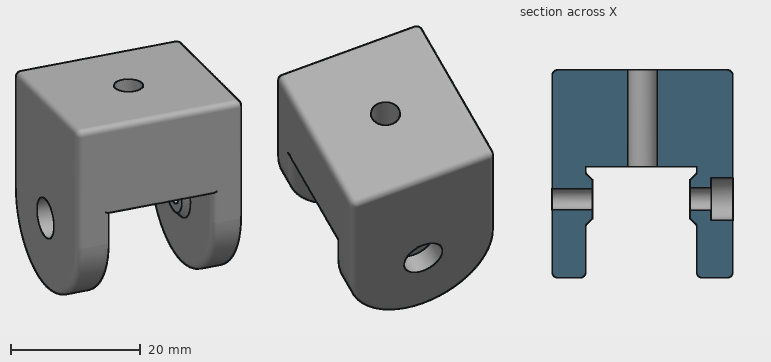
import cadquery as cq

width = 24.4
depth = 28.0
top_z = 20.0
end_radius = width / 2
edge_radius = 1.0

front_arm = 5.7
back_arm = 5.3
slot_ceiling_z = 5.0
ceiling_edge_radius = 0.5
slot_front_y = -depth / 2 + front_arm
slot_back_y = depth / 2 - back_arm

boss_base_radius = 4.0
boss_tip_radius = 3.0
boss_height = 1.0

front_pivot_diameter = 3.4
back_pivot_diameter = 3.2
counterbore_diameter = 6.5
counterbore_depth = 3.4
top_hole_diameter = 4.5


def plate(start_y, thickness):
    """Plate with the side outline of the part, running from start_y toward +Y."""
    return (
        cq.Workplane("XZ", origin=(0, start_y, 0))
        .moveTo(-width / 2, top_z)
        .lineTo(-width / 2, 0)
        .threePointArc((0, -end_radius), (width / 2, 0))
        .lineTo(width / 2, top_z)
        .close()
        .extrude(-thickness)
    )


def envelope():
    """Unslotted body with its front, back and top edges rounded."""
    return plate(-depth / 2, depth).faces("<Y or >Y or >Z").edges().fillet(edge_radius)


def arm(start_y, thickness, inner_face):
    """Arm plate with the rim of its inner face rounded."""
    return plate(start_y, thickness).faces(inner_face).edges().fillet(edge_radius)


def bridge():
    """Block above the slot, with the two ceiling edges along Y rounded."""
    block = cq.Workplane("XY", origin=(0, 0, slot_ceiling_z)).box(
        width, depth, top_z - slot_ceiling_z, centered=(True, True, False)
    )
    return block.edges("|Y and <Z").fillet(ceiling_edge_radius)


def boss(base_y, direction):
    """Tapered boss standing on an inner arm face, pointing along direction (+1 or -1 in Y)."""
    cone = cq.Solid.makeCone(
        boss_base_radius,
        boss_tip_radius,
        boss_height,
        pnt=cq.Vector(0, base_y, 0),
        dir=cq.Vector(0, direction, 0),
    )
    return cq.Workplane(obj=cone)


def pivot_bore(diameter, start_y, length):
    """Cylinder on the pivot axis, running from start_y toward +Y."""
    return cq.Workplane("XZ", origin=(0, start_y, 0)).circle(diameter / 2).extrude(-length)


def top_hole():
    """Vertical hole from the top face down into the slot."""
    bridge_thickness = top_z - slot_ceiling_z
    return (
        cq.Workplane("XY", origin=(0, 0, slot_ceiling_z))
        .circle(top_hole_diameter / 2)
        .extrude(bridge_thickness)
    )


result = bridge()
result = result.union(arm(-depth / 2, front_arm, ">Y"))
result = result.union(arm(slot_back_y, back_arm, "<Y"))
result = result.intersect(envelope())

result = result.union(boss(slot_front_y, 1))
result = result.union(boss(slot_back_y, -1))
result = result.cut(pivot_bore(counterbore_diameter, -depth / 2, counterbore_depth))
result = result.cut(pivot_bore(front_pivot_diameter, -depth / 2, depth / 2))
result = result.cut(pivot_bore(back_pivot_diameter, 0, depth / 2))
result = result.cut(top_hole())